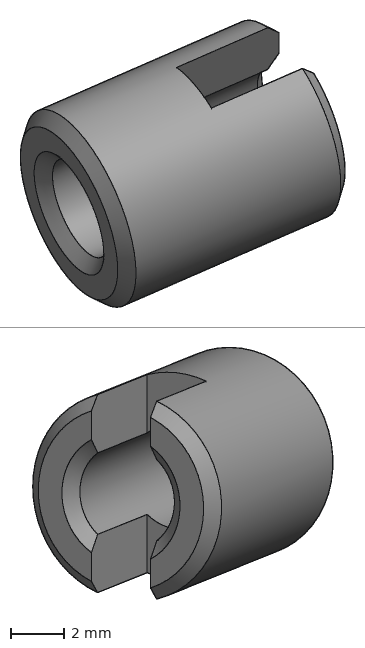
import cadquery as cq

length = 10.0
outer_diameter = 8.0
bore_diameter = 4.0
edge_chamfer = 0.5
slot_width = 2.5
slot_depth = 4.5


def chamfered_sleeve():
    """Tube along Y, with its inner and outer rims chamfered at both ends."""
    tube = (
        cq.Workplane("XZ", origin=(0, length / 2, 0))
        .circle(outer_diameter / 2)
        .circle(bore_diameter / 2)
        .extrude(length)
    )
    return tube.faces("<Y or >Y").edges().chamfer(edge_chamfer)


def end_slot():
    """Cutter for the slot across the full diameter at the +Y end."""
    return (
        cq.Workplane("XY")
        .box(slot_width, slot_depth, outer_diameter)
        .translate((0, (length - slot_depth) / 2, 0))
    )


result = chamfered_sleeve().cut(end_slot())